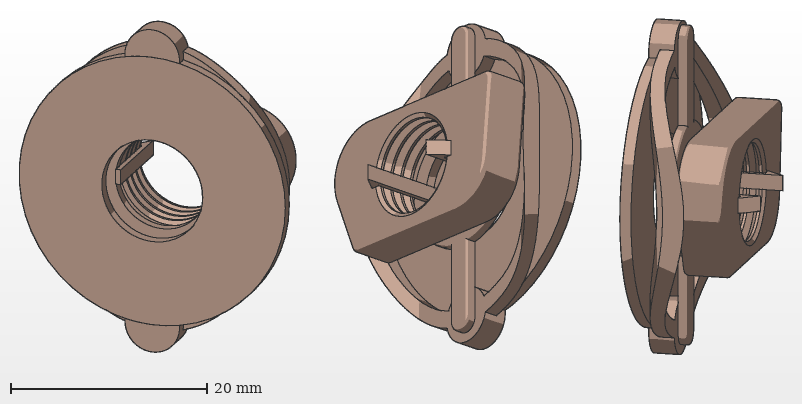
import cadquery as cq
import math


disc_radius = 14.5
disc_bore_radius = 5.5
disc_thickness = 1.2

spring_thickness = 1.5
spring_front = disc_thickness
spring_back = spring_front + spring_thickness
spring_half_width = 12.62
spring_half_height = 15.52
spring_hole_half_width = 11.5
spring_hole_half_height = 13.65
spring_flat_half_width = disc_bore_radius
bend_outer_radius = 10.42
bend_inner_radius = bend_outer_radius - spring_thickness
overall_half_height = 17.48
tab_radius = overall_half_height - disc_radius
tab_root_height = 0.7

plate_front = spring_back
plate_thickness = 1.0
plate_eye_radius = 7.0
plate_bore_radius = 5.0
plate_bar_half_length = 16.78
plate_bar_shift = 0.3
plate_bar_half_width = 1.33
plate_edge_fillet = 0.3

housing_front = 5.25
housing_thickness = 4.95
housing_back = housing_front + housing_thickness
housing_middle = housing_front + housing_thickness / 2
housing_top = 7.0
housing_bottom = -7.0
housing_corners = [
    (-12.13, housing_top),
    (14.7, housing_top),
    (9.0, housing_bottom),
    (-10.77, housing_bottom),
]
housing_corner_radii = [1.0, 5.5, 1.0, 5.0]
housing_edge_fillet = 0.5

ridge_count = 4
ridge_width = 0.3
ridge_radius = 5.07
mouth_depth = 0.3
mouth_radius = disc_bore_radius
ridge_pitch = (housing_thickness - 2 * mouth_depth - ridge_width) / (ridge_count - 1)
groove_half_width = (ridge_pitch - ridge_width) / 2
flank_slope = (mouth_radius - ridge_radius) / mouth_depth
groove_radius = ridge_radius + flank_slope * groove_half_width

leg_half_height = 0.8
leg_inner = 4.45
leg_outer = plate_bore_radius
hook_outer = 6.0
hook_tip = 12.2


def at_depth(depth):
    """Workplane facing the front, with local axes X and Z, at Y = depth."""
    return cq.Workplane("XZ", origin=(0, depth, 0))


def make_disc():
    return at_depth(0).circle(disc_radius).circle(disc_bore_radius).extrude(-disc_thickness)


def bent_strip():
    """The spring's sheet before its elliptical outline is cut: flat in the middle, curved at both sides."""
    center_y = spring_front + bend_outer_radius
    quarter = math.sqrt(0.5)

    def on_bend(radius, side):
        return (side * (spring_flat_half_width + radius * quarter), center_y - radius * quarter)

    def bend_end(radius, side):
        return (side * (spring_flat_half_width + radius), center_y)

    flat = spring_flat_half_width
    return (
        cq.Workplane("XY", origin=(0, 0, -spring_half_height))
        .moveTo(-flat, spring_front)
        .lineTo(flat, spring_front)
        .threePointArc(on_bend(bend_outer_radius, 1), bend_end(bend_outer_radius, 1))
        .lineTo(*bend_end(bend_inner_radius, 1))
        .threePointArc(on_bend(bend_inner_radius, 1), (flat, spring_back))
        .lineTo(-flat, spring_back)
        .threePointArc(on_bend(bend_inner_radius, -1), bend_end(bend_inner_radius, -1))
        .lineTo(*bend_end(bend_outer_radius, -1))
        .threePointArc(on_bend(bend_outer_radius, -1), (-flat, spring_front))
        .close()
        .extrude(2 * spring_half_height)
    )


def make_spring():
    ring = (
        at_depth(0)
        .ellipse(spring_half_width, spring_half_height)
        .ellipse(spring_hole_half_width, spring_hole_half_height)
        .extrude(-spring_front - bend_outer_radius)
    )
    spring = bent_strip().intersect(ring)

    disc_room = at_depth(0).circle(disc_radius).extrude(-disc_thickness)
    for side in (1, -1):
        root_center = side * (disc_radius - tab_root_height / 2)
        tab = at_depth(0).center(0, side * disc_radius).circle(tab_radius).extrude(-spring_back)
        root = at_depth(0).center(0, root_center).rect(2 * tab_radius, tab_root_height).extrude(-spring_back)
        spring = spring.union(tab.union(root).cut(disc_room))
    return spring


def make_leg(side):
    """Snap leg on the side +1 or -1 of X, with a pointed hook behind the housing."""
    return (
        cq.Workplane("XY", origin=(0, 0, -leg_half_height))
        .polyline([
            (side * leg_inner, plate_front),
            (side * leg_outer, plate_front),
            (side * leg_outer, housing_back),
            (side * hook_outer, housing_back),
            (side * leg_inner, hook_tip),
        ])
        .close()
        .extrude(2 * leg_half_height)
    )


def make_plate(fixed_leg, loose_leg):
    eye = at_depth(plate_front).circle(plate_eye_radius).extrude(-plate_thickness)
    bar = (
        at_depth(plate_front)
        .center(0, plate_bar_shift)
        .slot2D(2 * plate_bar_half_length, 2 * plate_bar_half_width, 90)
        .extrude(-plate_thickness)
    )
    bore = at_depth(plate_front).circle(plate_bore_radius).extrude(-plate_thickness)
    blank = eye.union(bar).faces(">Y").edges().fillet(plate_edge_fillet)
    return blank.cut(bore).union(fixed_leg).cut(loose_leg)


def make_bore():
    """Ridged hole through the housing, as a solid to cut away."""
    points = [(0, housing_front), (mouth_radius, housing_front)]
    for ridge in range(ridge_count):
        ridge_front = housing_front + mouth_depth + ridge * ridge_pitch
        ridge_back = ridge_front + ridge_width
        if ridge > 0:
            points.append((groove_radius, ridge_front - groove_half_width))
        points += [(ridge_radius, ridge_front), (ridge_radius, ridge_back)]
    points += [(mouth_radius, housing_back), (0, housing_back)]
    return cq.Workplane("XY").polyline(points).close().revolve(360, (0, 0, 0), (0, 1, 0))


def make_housing():
    body = at_depth(housing_front).polyline(housing_corners).close().extrude(-housing_thickness)
    for (x, z), radius in zip(housing_corners, housing_corner_radii):
        corner = cq.selectors.NearestToPointSelector((x, housing_middle, z))
        body = body.edges("|Y").edges(corner).fillet(radius)
    body = body.faces("<Y or >Y").edges().fillet(housing_edge_fillet)
    return body.cut(make_bore())


fixed_leg = make_leg(1)
loose_leg = make_leg(-1)
disc = make_disc()
spring = make_spring()
plate = make_plate(fixed_leg, loose_leg)
housing = make_housing()

result = cq.Compound.makeCompound([
    disc.val(), spring.val(), plate.val(), loose_leg.val(), housing.val(),
])